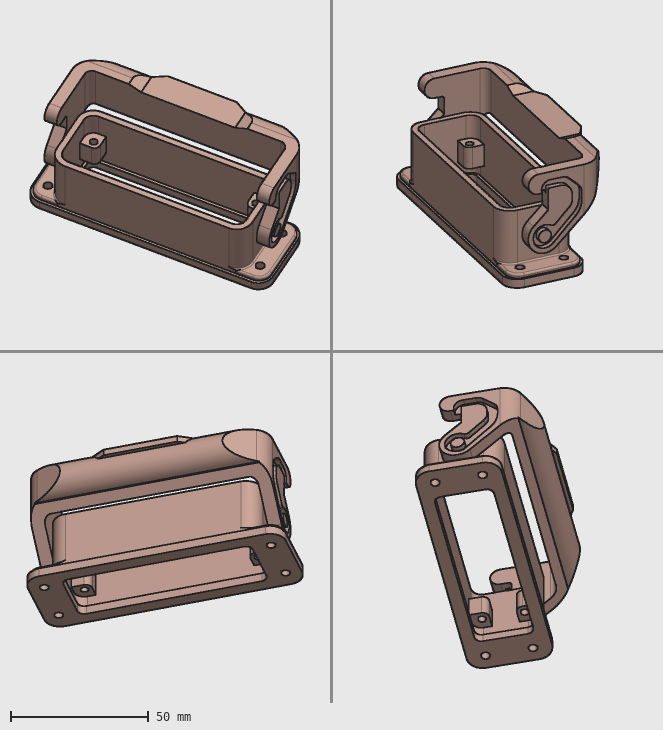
import cadquery as cq
import math


flange_length = 98.0
flange_width = 31.85
flange_height = 3.5
flange_corner = 6.0
pad_margin = 0.9
pad_height = 1.8
pad_corner = 5.1
pad_rounding = 0.9
pad_top = flange_height + pad_height

body_length = 79.6
body_width = 29.6
body_top = 26.9
body_corner = 6.5
wall = 2.5
ledge = 1.3
root_fillet = 0.6
inner_length = body_length - 2 * wall
inner_width = body_width - 2 * wall
inner_corner = body_corner - wall

post_size = 7.2
post_bottom = 8.7
post_top = 17.4
post_rounding = 2.45
post_hole_diameter = 2.9
post_hole_x = 33.0
post_hole_y = 7.9

mount_hole_diameter = 3.3
mount_hole_x = 43.1
mount_hole_y = 8.8

lever_top = 42.8
lever_length = 91.4
arm_thickness = 5.1
lever_half = lever_length / 2
arm_inside = lever_half - arm_thickness
pivot_z = 17.1
pivot_radius = 6.8
pivot_boss_radius = 3.6
arm_angle = math.radians(43)
nose_radius = 4.0
nose_y = -2.6
throat_y = 1.4
throat_fillet = 1.3

grip_radius = 7.1
grip_y = 22.0
grip_z = lever_top - grip_radius
grip_inside_y = 18.6
grip_end_half = 30.9
end_angle = math.radians(31)
lever_corner = 8.0
corner_start_y = 15.7

overall_depth = 46.0
tab_back_y = overall_depth - flange_width / 2
tab_half = 14.0
tab_thickness = 2.5
saddle_depth = 2.0
saddle_floor_half = 19.1
saddle_top_half = 24.1
tab_top = lever_top - saddle_depth

channel_depth = 2.3
channel_disc_radius = 4.7
pin_radius = 2.5
channel_back_y = 14.9
channel_back_top = 33.6
channel_top = 39.6
channel_top_y = 8.3
channel_mouth_y = -1.4
channel_elbow_radius = 8.8
channel_bend_radius = 3.9
channel_mouth_radius = 3.5
island_back_y = 11.0
island_top = 36.4
island_back_radius = 4.5
island_tip_radius = 0.6
channel_neck_fillet = 1.5


def rounded_block(length, width, corner, bottom, top):
    """Upright block centred on the z axis with rounded vertical edges."""
    block = cq.Workplane("XY").workplane(offset=bottom).rect(length, width).extrude(top - bottom)
    return block.edges("|Z").fillet(corner)


def side_prism(start, end, points):
    """Prism along X from start to end with an outline of (y, z) points."""
    return cq.Workplane("YZ").workplane(offset=start).polyline(points).close().extrude(end - start)


def side_disc(start, end, y, z, radius):
    """Cylinder along X from start to end."""
    return cq.Workplane("YZ").workplane(offset=start).center(y, z).circle(radius).extrude(end - start)


def both_ends(solid):
    """The solid together with its mirror image at the other end of the part."""
    return solid.union(solid.mirror("YZ"))


def round_edge(solid, y, z, radius):
    """Fillet the edge along X that passes through (y, z)."""
    reach = 0.05
    box = cq.selectors.BoxSelector(
        (-flange_length, y - reach, z - reach), (flange_length, y + reach, z + reach))
    return solid.edges("|X").edges(box).fillet(radius)


def make_shell():
    """Solid core of the housing with a root fillet, cut flush with its long sides."""
    foot_length = body_length + 2 * root_fillet
    foot_width = body_width + 2 * root_fillet
    foot_corner = body_corner + root_fillet
    ground = cq.Workplane("XY").rect(flange_length, 2 * flange_width).extrude(pad_top)
    core = rounded_block(body_length, body_width, body_corner, 0, body_top)
    root = cq.selectors.BoxSelector(
        (-foot_length / 2, -foot_width / 2, 0),
        (foot_length / 2, foot_width / 2, pad_top + root_fillet), boundingbox=True)
    core = ground.union(core).edges(root).fillet(root_fillet)
    foot = rounded_block(foot_length, foot_width, foot_corner, 0, body_top)
    sides = cq.Workplane("XY").rect(flange_length, body_width).extrude(body_top)
    return core.intersect(foot).intersect(sides)


def make_housing():
    flange = rounded_block(flange_length, flange_width, flange_corner, 0, flange_height)
    pad = rounded_block(flange_length - 2 * pad_margin, body_width, pad_corner, 0, pad_top)
    pad = pad.faces(">Z").edges().fillet(pad_rounding)
    housing = flange.union(pad).union(make_shell())
    cavity = rounded_block(inner_length, inner_width, inner_corner, flange_height, body_top)
    opening = rounded_block(
        inner_length - 2 * ledge, inner_width - 2 * ledge, inner_corner - ledge, 0, flange_height)
    housing = housing.cut(cavity).cut(opening)
    mounts = cq.Workplane("XY").rect(2 * mount_hole_x, 2 * mount_hole_y, forConstruction=True)
    return housing.cut(mounts.vertices().circle(mount_hole_diameter / 2).extrude(pad_top))


def make_posts():
    """Four drilled posts that hang on the housing walls above the floor."""
    height = post_top - post_bottom
    middle_x = inner_length / 2 - post_size / 2
    middle_y = inner_width / 2 - post_size / 2
    post = cq.Workplane("XY").workplane(offset=post_bottom)
    post = post.center(middle_x, middle_y).rect(post_size, post_size).extrude(height)
    post = post.edges("|Z and <X and <Y").fillet(post_rounding)
    hole = cq.Workplane("XY").workplane(offset=post_bottom)
    hole = hole.center(post_hole_x, post_hole_y).circle(post_hole_diameter / 2).extrude(height)
    limit = rounded_block(
        body_length - wall, body_width - wall, body_corner - wall / 2, post_bottom, post_top)
    pair = both_ends(post.cut(hole).intersect(limit))
    return pair.union(pair.mirror("XZ"))


def make_lever_side():
    """Side outline of the lever, as wide as the whole lever."""
    reach_y = pivot_radius * math.sin(arm_angle)
    reach_z = pivot_radius * math.cos(arm_angle)
    slope = math.tan(arm_angle)
    lower_z = pivot_z - reach_z + (grip_y - reach_y) * slope
    throat_low_z = pivot_z + reach_z + (throat_y + reach_y) * slope
    throat_high_z = lever_top - 2 * nose_radius
    outline = (
        cq.Workplane("YZ").workplane(offset=-lever_half)
        .moveTo(reach_y, pivot_z - reach_z)
        .lineTo(grip_y, lower_z)
        .lineTo(grip_y, grip_z - grip_radius)
        .threePointArc((grip_y + grip_radius, grip_z), (grip_y, lever_top))
        .lineTo(nose_y, lever_top)
        .threePointArc((nose_y - nose_radius, lever_top - nose_radius), (nose_y, throat_high_z))
        .lineTo(throat_y, throat_high_z)
        .lineTo(throat_y, throat_low_z)
        .lineTo(-reach_y, pivot_z + reach_z)
        .threePointArc((-reach_z, pivot_z - reach_y), (reach_y, pivot_z - reach_z))
        .close()
    )
    return round_edge(outline.extrude(lever_length), throat_y, throat_high_z, throat_fillet)


def make_lever_plan():
    """U-shaped plan of the lever with sloping grip ends, from z = 0 to the lever top."""
    front_y = -2 * pivot_radius
    back_y = grip_y + grip_radius
    corner_x = lever_half - lever_corner

    def corner_point(angle):
        x = corner_x + lever_corner * math.cos(angle)
        y = corner_start_y + lever_corner * math.sin(angle)
        return (x, y)

    end_normal = math.pi / 2 - end_angle
    arc_end = corner_point(end_normal)
    arc_middle = corner_point(end_normal / 2)
    outer = (
        cq.Workplane("XY")
        .moveTo(lever_half, front_y)
        .lineTo(lever_half, corner_start_y)
        .threePointArc(arc_middle, arc_end)
        .lineTo(grip_end_half, back_y)
        .lineTo(-grip_end_half, back_y)
        .lineTo(-arc_end[0], arc_end[1])
        .threePointArc((-arc_middle[0], arc_middle[1]), (-lever_half, corner_start_y))
        .lineTo(-lever_half, front_y)
        .close()
        .extrude(lever_top)
    )
    inside_depth = grip_inside_y - front_y
    inside = cq.Workplane("XY").center(0, front_y + inside_depth / 2)
    inside = inside.rect(2 * arm_inside, inside_depth).extrude(lever_top)
    inside = inside.edges("|Z and >Y").fillet(lever_corner - arm_thickness)
    return outer.cut(inside)


def make_saddle():
    """Shallow trapezoid sunk into the top of the grip."""
    points = [
        (-saddle_top_half, lever_top),
        (-saddle_floor_half, tab_top),
        (saddle_floor_half, tab_top),
        (saddle_top_half, lever_top),
    ]
    return cq.Workplane("XZ").polyline(points).close().extrude(-tab_back_y)


def make_tab():
    """Thumb tab that grows out of the back of the grip, level with the saddle floor."""
    root_half = tab_half + (tab_back_y - grip_y) / math.tan(end_angle)
    points = [
        (-tab_half, tab_back_y),
        (tab_half, tab_back_y),
        (root_half, grip_y),
        (-root_half, grip_y),
    ]
    tab = cq.Workplane("XY").workplane(offset=tab_top - tab_thickness)
    return tab.polyline(points).close().extrude(tab_thickness)


def make_channel():
    """Hook-shaped channel in the -X arm, running from around the pivot pin into the hook opening."""
    floor = -lever_half + channel_depth
    mouth_z = lever_top - 2 * nose_radius - throat_fillet
    start = channel_disc_radius * math.sqrt(0.5)
    elbow_z = pivot_z - 2 * start + channel_back_y
    mouth = [(channel_mouth_y, channel_top), (channel_mouth_y, mouth_z), (throat_y, mouth_z)]
    channel = side_prism(-lever_half, floor, [
        (throat_y, pivot_z),
        (start, pivot_z - start),
        (channel_back_y, elbow_z),
        (channel_back_y, channel_back_top),
        (channel_top_y, channel_top),
        *mouth,
    ])
    channel = round_edge(channel, channel_back_y, elbow_z, channel_elbow_radius)
    channel = round_edge(channel, channel_back_y, channel_back_top, channel_bend_radius)
    channel = round_edge(channel, channel_top_y, channel_top, channel_bend_radius)
    channel = round_edge(channel, channel_mouth_y, channel_top, channel_mouth_radius)

    island_low_z = pivot_z + island_back_y
    island = side_prism(-lever_half, floor, [
        (throat_y, pivot_z + throat_y),
        (island_back_y, island_low_z),
        (island_back_y, island_top),
        (throat_y, island_top),
    ])
    island = round_edge(island, island_back_y, island_low_z, channel_bend_radius)
    island = round_edge(island, island_back_y, island_top, island_back_radius)
    island = round_edge(island, throat_y, island_top, island_tip_radius)

    channel = channel.cut(island)
    channel = channel.union(side_disc(-lever_half, floor, 0, pivot_z, channel_disc_radius))
    channel = round_edge(channel, start, pivot_z + start, channel_neck_fillet)
    return channel.cut(side_disc(-lever_half, floor, 0, pivot_z, pin_radius))


def make_lever():
    lever = make_lever_side().intersect(make_lever_plan())
    lever = lever.cut(make_saddle()).union(make_tab())
    return lever.cut(both_ends(make_channel()))


def make_pivot_bosses():
    """Round bosses that fill the gap between the housing ends and the arms."""
    return both_ends(side_disc(-arm_inside, -body_length / 2 + wall / 2, 0, pivot_z, pivot_boss_radius))


result = make_housing().union(make_posts()).union(make_lever()).union(make_pivot_bosses())